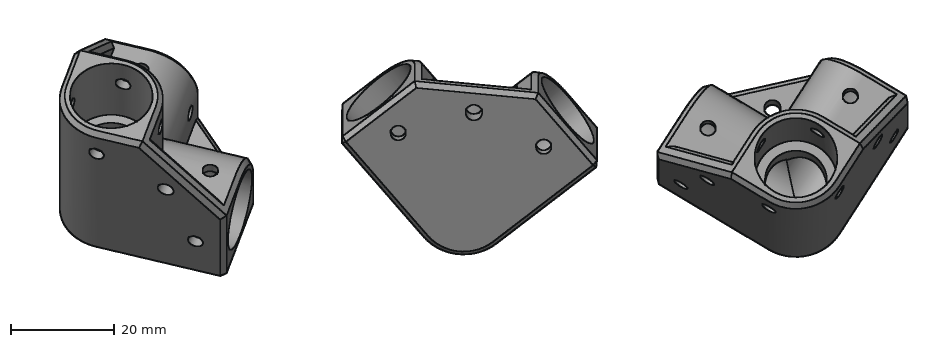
import cadquery as cq


leg_radius = 10.0
leg_reach = 26.0
edge_chamfer = 1.0
gusset_thickness = 3.5
tube_diameter = 16.0
core_diameter = 12.0
seat_distance = leg_radius
pin_hole_diameter = 3.0
pin_hole_distance = 20.0
gusset_hole_diameter = 3.2
gusset_hole_offset = 14.0

side = leg_radius + leg_reach
slope_start = leg_radius - edge_chamfer

leg_planes = ("XY", "YZ", "ZX")


def make_leg(plane):
    """Square prism with one corner rounded toward the inside of the part."""
    return (
        cq.Workplane(plane)
        .workplane(offset=-leg_radius)
        .moveTo(-leg_radius, -leg_radius)
        .lineTo(leg_radius, -leg_radius)
        .lineTo(leg_radius, 0)
        .radiusArc((0, leg_radius), -leg_radius)
        .lineTo(-leg_radius, leg_radius)
        .close()
        .extrude(side)
        .faces(cq.selectors.DirectionMinMaxSelector(cq.Plane.named(plane).zDir))
        .chamfer(edge_chamfer)
    )


def gusset_outline(plane):
    """Outer wall outline: a square with its far corner cut off at 45 degrees."""
    return (
        cq.Workplane(plane)
        .workplane(offset=-leg_radius)
        .moveTo(-leg_radius, -leg_radius)
        .lineTo(leg_reach, -leg_radius)
        .lineTo(leg_reach, slope_start)
        .lineTo(slope_start, leg_reach)
        .lineTo(-leg_radius, leg_reach)
        .close()
    )


def make_gusset(plane):
    """Plate on an outer wall, with the inner rim of its sloped edge chamfered."""
    frame = cq.Plane.named(plane)
    return (
        gusset_outline(plane)
        .extrude(gusset_thickness)
        .faces(cq.selectors.DirectionMinMaxSelector(frame.zDir))
        .edges(cq.selectors.DirectionMinMaxSelector(frame.xDir + frame.yDir))
        .chamfer(edge_chamfer)
    )


def make_envelope():
    """Cube with sloped far corners, a rounded -X -Y upright edge and chamfered outer walls."""
    block = gusset_outline(leg_planes[0]).extrude(side)
    for plane in leg_planes[1:]:
        block = block.intersect(gusset_outline(plane).extrude(side))
    rounded = block.edges("|Z and <X and <Y").fillet(leg_radius)
    return (
        rounded.faces("<X or <Y or <Z or %Cylinder")
        .edges("(not |Z) or >X or >Y")
        .chamfer(edge_chamfer)
    )


def make_bore(plane):
    """Tube socket, its stop shoulder and the narrower passage to the origin."""
    passage = cq.Workplane(plane).circle(core_diameter / 2).extrude(leg_reach)
    socket = (
        cq.Workplane(plane)
        .workplane(offset=seat_distance)
        .circle(tube_diameter / 2)
        .extrude(leg_reach - seat_distance)
    )
    return passage.union(socket)


def make_holes(plane):
    """Holes along one leg axis: a pin hole through each other leg and one gusset hole."""
    start = cq.Workplane(plane).workplane(offset=-leg_radius)
    pin_holes = (
        start.pushPoints([(pin_hole_distance, 0), (0, pin_hole_distance)])
        .circle(pin_hole_diameter / 2)
        .extrude(2 * leg_radius)
    )
    gusset_hole = (
        start.center(gusset_hole_offset, gusset_hole_offset)
        .circle(gusset_hole_diameter / 2)
        .extrude(gusset_thickness)
    )
    return pin_holes.union(gusset_hole)


body = make_leg(leg_planes[0]).union(make_gusset(leg_planes[0]))
for plane in leg_planes[1:]:
    body = body.union(make_leg(plane)).union(make_gusset(plane))
body = body.intersect(make_envelope())

body = body.cut(cq.Workplane("XY").sphere(core_diameter / 2))
for plane in leg_planes:
    body = body.cut(make_bore(plane)).cut(make_holes(plane))

result = body